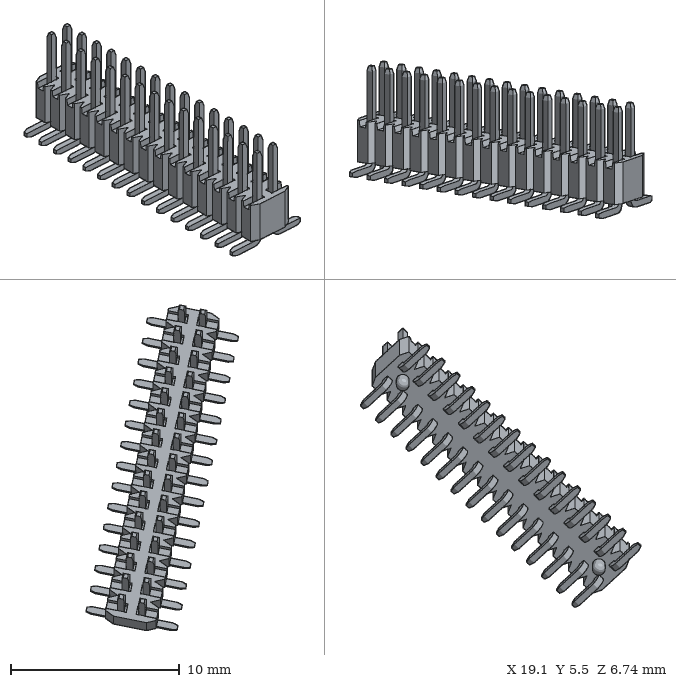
import cadquery as cq
import math


pin_count = 15
length = 19.05
pitch = length / pin_count
housing_depth = 3.07
housing_height = 2.53
notch_depth = 0.53
notch_half_width = 0.25

pin_width = 0.4
pin_height = 3.2
pin_top = housing_height + pin_height
tip_length = 0.3
tip_width = 0.25
row_y = pitch / 2
foot_span = 5.5
foot_drop = 0.69
bend_inner_radius = 0.23
bend_outer_radius = bend_inner_radius + pin_width

slot_depth = 0.38
slot_side_taper = 0.05
slot_end_gap = 0.13

peg_radius = 0.38
peg_drop = 1.01
peg_x = length / 2 - pitch

pin_xs = [(i - (pin_count - 1) / 2) * pitch for i in range(pin_count)]


def make_housing():
    """Bar with a V notch between neighbouring pins and matching bevels on its corners."""
    edge_y = housing_depth / 2
    valley_y = edge_y - notch_depth
    front = [(-length / 2, -valley_y)]
    for x in pin_xs:
        front.append((x - pitch / 2 + notch_half_width, -edge_y))
        front.append((x + pitch / 2 - notch_half_width, -edge_y))
        front.append((x + pitch / 2, -valley_y))
    back = [(-x, -y) for x, y in front]
    return cq.Workplane("XY").polyline(front + back).close().extrude(housing_height)


def make_slot():
    """Cutter for one front-row slot: open at the front, wider at the top than at its floor."""
    floor_z = housing_height - slot_depth
    inner_y = -row_y + pin_width / 2 + slot_end_gap
    floor_half = pin_width / 2
    mouth_half = floor_half + slot_side_taper
    return (
        cq.Workplane("XZ", origin=(0, inner_y, 0))
        .polyline([
            (-floor_half, floor_z),
            (floor_half, floor_z),
            (mouth_half, housing_height),
            (-mouth_half, housing_height),
        ])
        .close()
        .extrude(inner_y + housing_depth / 2)
    )


def make_tip(base, direction):
    """Square taper that starts at the point base and narrows along direction."""
    plane = cq.Plane(origin=base, xDir=(1, 0, 0), normal=direction)
    return (
        cq.Workplane(plane)
        .rect(pin_width, pin_width)
        .workplane(offset=tip_length)
        .rect(tip_width, tip_width)
        .loft(ruled=True)
    )


def make_pin():
    """Front-row pin: upright post, rounded bend under the housing and a foot pointing to -Y."""
    half = pin_width / 2
    inner_y = -row_y + half
    outer_y = -row_y - half
    foot_bottom = -foot_drop
    foot_top = foot_bottom + pin_width
    foot_end = -foot_span / 2 + tip_length
    post_end = pin_top - tip_length
    bend_y = outer_y - bend_inner_radius
    bend_z = foot_bottom + bend_outer_radius
    diagonal = math.sqrt(0.5)

    def bend_middle(radius):
        return (bend_y + radius * diagonal, bend_z - radius * diagonal)

    shaft = (
        cq.Workplane("YZ", origin=(-half, 0, 0))
        .moveTo(inner_y, post_end)
        .lineTo(inner_y, bend_z)
        .threePointArc(bend_middle(bend_outer_radius), (bend_y, foot_bottom))
        .lineTo(foot_end, foot_bottom)
        .lineTo(foot_end, foot_top)
        .lineTo(bend_y, foot_top)
        .threePointArc(bend_middle(bend_inner_radius), (outer_y, bend_z))
        .lineTo(outer_y, post_end)
        .close()
        .extrude(pin_width)
    )
    post_tip = make_tip((0, -row_y, post_end), (0, 0, 1))
    foot_tip = make_tip((0, foot_end, foot_bottom + half), (0, -1, 0))
    return shaft.union(post_tip).union(foot_tip)


def make_peg():
    """Round locating peg with a hemispherical end, rooted in the housing."""
    dome_z = peg_radius - peg_drop
    shank = cq.Workplane("XY", origin=(0, 0, dome_z)).circle(peg_radius).extrude(-dome_z)
    dome = cq.Workplane("XY", origin=(0, 0, dome_z)).sphere(peg_radius)
    return shank.union(dome)


def place_in_both_rows(shape):
    """Copies of a front-row shape at every pin position of both rows."""
    mirrored = shape.mirror("XZ")
    copies = cq.Workplane("XY")
    for x in pin_xs:
        for row_shape in (shape, mirrored):
            copies = copies.add(row_shape.translate((x, 0, 0)))
    return copies.combine(glue=False)


housing = make_housing().cut(place_in_both_rows(make_slot()))
result = housing.union(place_in_both_rows(make_pin()))
for side in (-1, 1):
    result = result.union(make_peg().translate((side * peg_x, 0, 0)))